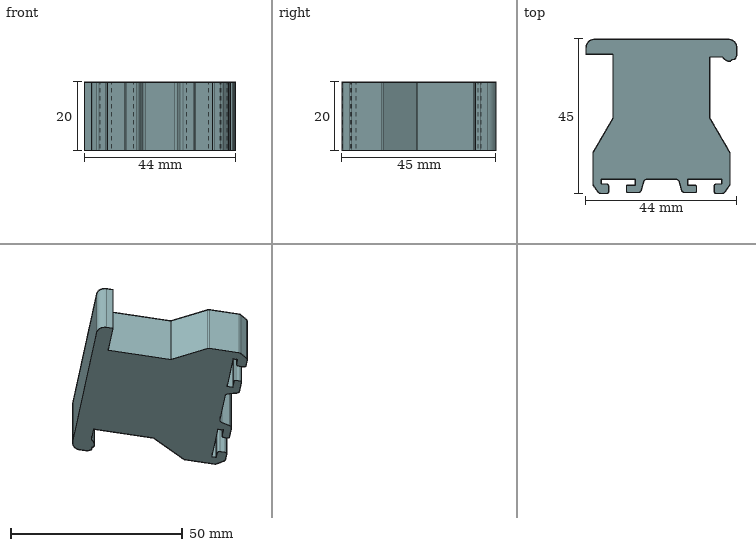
import cadquery as cq

width = 44.0
depth = 45.0
height = 20.0
half_width = width / 2

flange_corner_radius = 2.48
left_flange_thickness = 4.45
right_flange_thickness = 5.2
left_flange_y = depth - left_flange_thickness
right_flange_y = depth - right_flange_thickness

bead_start_x = 17.8
bead_bulge = (18.55, 39.0)
bead_tip_left = (19.5, 38.5)
bead_tip_right = (20.05, 38.5)
bead_notch = (20.6, 39.05)
bead_end = (21.3, 39.05)
bead_end_bulge = (21.75, 39.65)
bead_top_y = 40.4

neck_half_width = 14.15
base_half_width = 20.02
taper_top_y = 22.0
taper_bottom_y = 11.9
knee_radius = 1.0

slot_ceiling_y = 4.15
slot_outer_x = 17.55
slot_inner_x = 7.7

lip_top_y = 2.85
lip_bevel_top_y = 2.55
lip_inner_x = 15.35
lip_bevel_x = 18.22
lip_top_radius = 0.7
lip_bevel_radius = 1.0
lip_bottom_radius = 0.6

hook_bottom_y = 0.25
hook_top_y = 2.48
hook_outer_x = 10.25
hook_radius = 0.5
channel_mouth_x = 6.05
channel_ceiling_x = 4.95
channel_mouth_radius = 1.0
channel_ceiling_radius = 1.0


def both_sides(points):
    """Pair every point with its mirror image in the YZ plane."""
    return [(side * x, y) for x, y in points for side in (-1, 1)]


def round_edges(body, points, radius):
    """Round the vertical edges that pass through the given XY points."""
    edges = cq.Workplane("XY")
    for x, y in points:
        edges = edges.add(body.edges(cq.selectors.NearestToPointSelector((x, y, height / 2))))
    return body.newObject([body.val().fillet(radius, edges.vals())])


base_knee = (base_half_width, taper_bottom_y)
bevel_knee = (base_half_width, lip_bevel_top_y)
lip_bevel = (lip_bevel_x, 0)
lip_bottom = (lip_inner_x, 0)
lip_top = (lip_inner_x, lip_top_y)
hook_top = (hook_outer_x, hook_top_y)
hook_bottom = (hook_outer_x, hook_bottom_y)
channel_mouth = (channel_mouth_x, hook_bottom_y)
channel_ceiling = (channel_ceiling_x, slot_ceiling_y)

right_front = [
    (neck_half_width, taper_top_y),
    base_knee,
    bevel_knee,
    lip_bevel,
    lip_bottom,
    lip_top,
    (slot_outer_x, lip_top_y),
    (slot_outer_x, slot_ceiling_y),
    (slot_inner_x, slot_ceiling_y),
    (slot_inner_x, hook_top_y),
    hook_top,
    hook_bottom,
    channel_mouth,
    channel_ceiling,
]
left_front = [(-x, y) for x, y in reversed(right_front)]

profile = (
    cq.Workplane("XY")
    .moveTo(-half_width, depth)
    .lineTo(half_width, depth)
    .lineTo(half_width, bead_top_y)
    .threePointArc(bead_end_bulge, bead_end)
    .lineTo(*bead_notch)
    .lineTo(*bead_tip_right)
    .lineTo(*bead_tip_left)
    .threePointArc(bead_bulge, (bead_start_x, right_flange_y))
    .lineTo(neck_half_width, right_flange_y)
)
for point in right_front + left_front:
    profile = profile.lineTo(*point)
profile = (
    profile
    .lineTo(-neck_half_width, left_flange_y)
    .lineTo(-half_width, left_flange_y)
    .close()
)
body = profile.extrude(height)

corner_rounds = [
    ([(half_width, depth)], flange_corner_radius),
    ([base_knee, bevel_knee], knee_radius),
    ([lip_bevel], lip_bevel_radius),
    ([lip_bottom], lip_bottom_radius),
    ([lip_top], lip_top_radius),
    ([hook_top, hook_bottom], hook_radius),
    ([channel_mouth], channel_mouth_radius),
    ([channel_ceiling], channel_ceiling_radius),
]
for corners, radius in corner_rounds:
    body = round_edges(body, both_sides(corners), radius)

result = body